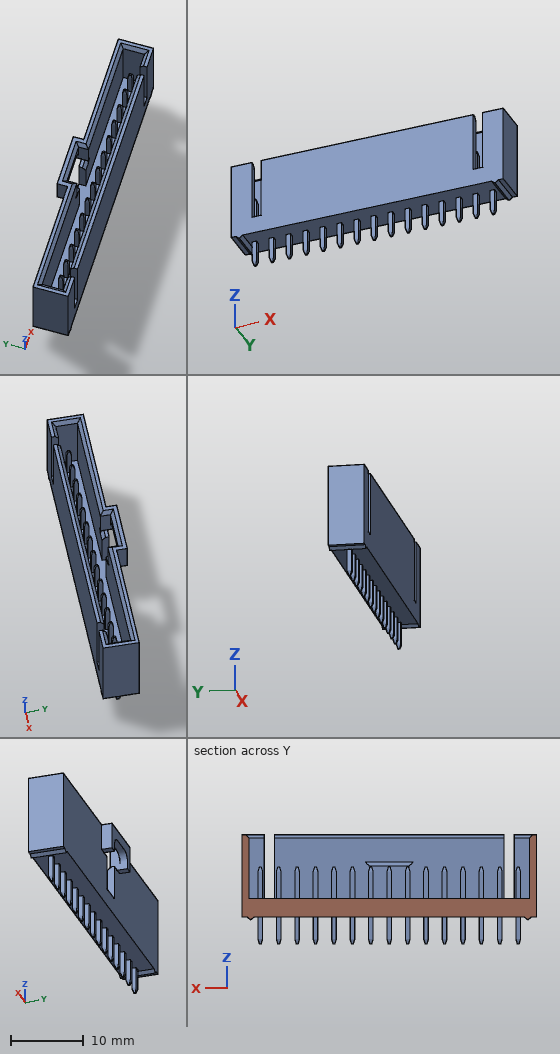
import cadquery as cq

length = 40.65

pin_count = 15
pin_pitch = length / (pin_count + 1)
pin_size = 0.65
pin_tip_size = 0.25
pin_taper = 0.65
pin_below = 3.75
pin_above = 6.9

depth = 5.1
height = 11.38
wall = 1.0
floor = 2.55
rim_chamfer = wall / 2

key_width = 7.72
key_reach = 1.5
key_height = 3.8
key_wall = 1.1
key_window_height = 2.28
key_window_radius = 1.3
key_slot_width = 3.05

slot_width = 1.4
slot_center = 16.55

ridge_width = 1.0
ridge_height = 0.4
ridge_center = length / 2 - 1.2

rear = depth / 2
key_cavity_width = key_width - 2 * key_wall
key_cavity_rear = rear + key_reach - key_wall


def block(x_range, y_range, z_range):
    """Box spanning the given (low, high) ranges."""
    (x0, x1), (y0, y1), (z0, z1) = x_range, y_range, z_range
    return cq.Workplane("XY").box(x1 - x0, y1 - y0, z1 - z0, centered=False).translate((x0, y0, z0))


def rim_flare(x_range, y_range, top):
    """Frustum that widens an opening at its upper edge to form a chamfer."""
    (x0, x1), (y0, y1) = x_range, y_range
    center = ((x0 + x1) / 2, (y0 + y1) / 2)
    grow = 2 * rim_chamfer
    return (
        cq.Workplane("XY", origin=(*center, top - rim_chamfer))
        .rect(x1 - x0, y1 - y0)
        .workplane(offset=rim_chamfer)
        .rect(x1 - x0 + grow, y1 - y0 + grow)
        .loft(ruled=True)
    )


def centered(width):
    """Range of the given width centred on zero."""
    return (-width / 2, width / 2)


def make_housing():
    """Open-topped shell with its key box and wall slots."""
    inner_x = centered(length - 2 * wall)
    inner_y = centered(depth - 2 * wall)
    key_x = centered(key_cavity_width)
    key_y = (0, key_cavity_rear)
    ledge = height - key_height

    body = block(centered(length), centered(depth), (0, height))
    key_box = block(centered(key_width), (0, rear + key_reach), (ledge, height))
    body = body.union(key_box)

    body = body.cut(block(inner_x, inner_y, (floor, height)))
    body = body.cut(rim_flare(inner_x, inner_y, height))
    body = body.cut(block(key_x, key_y, (ledge, height)))
    body = body.cut(rim_flare(key_x, key_y, height))

    body = body.cut(rim_flare(key_x, inner_y, ledge))

    window_y = (key_cavity_rear, rear + key_reach)
    window = block(key_x, window_y, (ledge, ledge + key_window_height))
    body = body.cut(window.edges("|Y and >Z").fillet(key_window_radius))

    body = body.cut(block(centered(key_slot_width), (0, rear), (floor, ledge)))

    for side in (-1, 1):
        middle = side * slot_center
        slot_x = (middle - slot_width / 2, middle + slot_width / 2)
        body = body.cut(block(slot_x, (-rear, 0), (floor, height)))
    return body


def make_ridge(x):
    """V-shaped ridge running front to back under the housing."""
    half = ridge_width / 2
    return (
        cq.Workplane("XZ", origin=(x, rear, 0))
        .polyline([(-half, 0), (half, 0), (0, -ridge_height)])
        .close()
        .extrude(depth)
    )


def make_pin(x):
    """Square pin with both ends drawn in to a small flat tip."""
    shaft_bottom = pin_taper - pin_below
    shaft_top = pin_above - pin_taper
    pin = block(centered(pin_size), centered(pin_size), (shaft_bottom, shaft_top))
    for start, taper in ((shaft_bottom, -pin_taper), (shaft_top, pin_taper)):
        tip = (
            cq.Workplane("XY", origin=(0, 0, start))
            .rect(pin_size, pin_size)
            .workplane(offset=taper)
            .rect(pin_tip_size, pin_tip_size)
            .loft(ruled=True)
        )
        pin = pin.union(tip)
    return pin.translate((x, 0, 0))


result = make_housing()
for side in (-1, 1):
    result = result.union(make_ridge(side * ridge_center))
for index in range(pin_count):
    result = result.union(make_pin((index - (pin_count - 1) / 2) * pin_pitch))